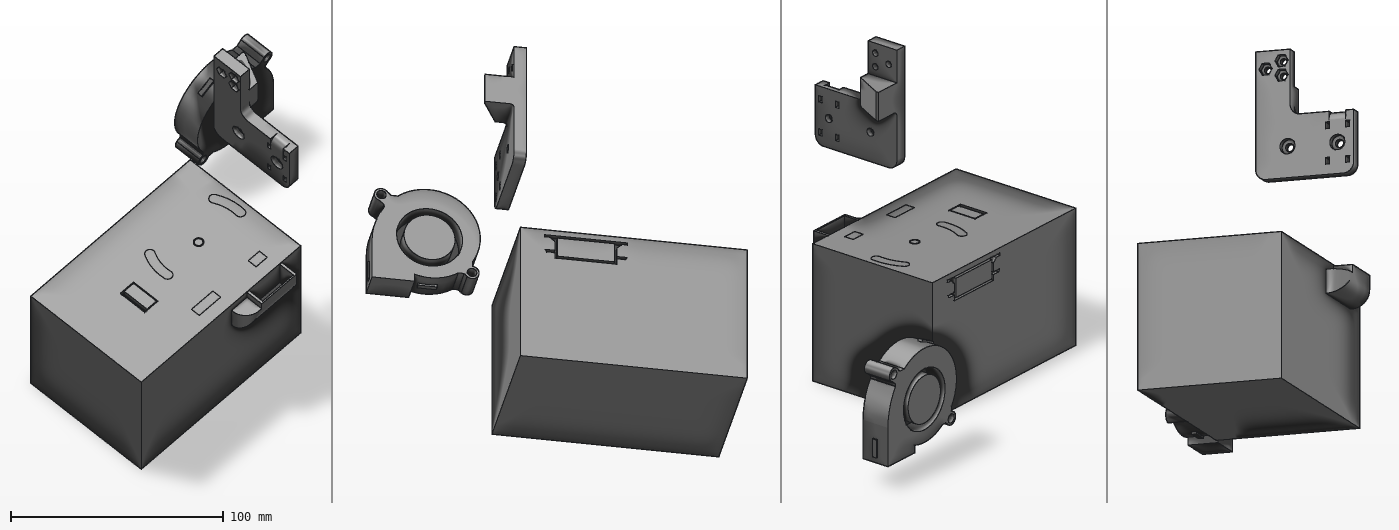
import cadquery as cq
import math


BOX_X, BOX_Y, BOX_Z = 72.0, 108.9, 71.1
SEAT_DEPTH = 0.1
PIVOT = (35.7, 77.2)
PIVOT_OUTER_D, PIVOT_INNER_D = 5.0, 4.0
ARC_SLOT_WIDTH = 5.0
FRONT_SLOT_R, REAR_SLOT_R = 23.9, 26.1
FRONT_SLOT_ANGLES = (-120.0, -84.0)
REAR_SLOT_ANGLES = (117.5, 84.5)
SEAT_X, SEAT_WIDTH = 62.6, 5.1
SEAT_SPANS = [(85.6, 93.2), (46.8, 61.4)]

POCKET_X, POCKET_Y = 37.4, 34.8
POCKET_LENGTH, POCKET_WIDTH, POCKET_DEPTH = 15.9, 9.0, 3.0
TONGUE_GAP = 0.5
TONGUE_WIDTH = 6.4

GROOVE_DEPTH = 3.0
GROOVE_Y, GROOVE_HALF_WIDTH = 77.4, 14.9
GROOVE_BOTTOM, GROOVE_TOP = 55.9, 68.3
GROOVE_WALL = 1.2
FLANGE_HALF_WIDTH = 19.9
FLARE = 2.2
RIB_BOTTOM, RIB_HEIGHT = 58.9, 1.3
RIB_HALF_WIDTH, RIB_TIP_TAPER = 19.6, 0.8

ELBOW_X = 9.6
ELBOW_FRONT, ELBOW_BACK = 61.6, 96.1
ELBOW_BOTTOM, ELBOW_SHELF, ELBOW_TOP = 54.9, 66.6, 70.5
ELBOW_ROUND = 9.0
COLLAR_FRONT = 72.2
ELBOW_WALL, ELBOW_SIDE_WALL = 0.8, 1.5

BRACKET_X, BRACKET_Z = 22.3, 122.6
BRACKET_WIDTH, BRACKET_HEIGHT = 49.1, 62.22
PLATE_FRONT, PLATE_THICKNESS = 101.7, 6.0
LEG_WIDTH, FOOT_HEIGHT = 17.3, 30.5
CORNER_R = 5.0
ARM_LENGTH, ARM_DROP = 13.9, 8.1
ARM_BOTTOM, ARM_TOP = 30.3, 45.3
ARM_FLAT = 1.5
ARM_FILLET = 2.0
SCREW_D, NUT_FLATS, NUT_DEPTH = 3.2, 5.7, 3.0
SCREW_POINTS = [(13.0, 50.0), (13.0, 57.0), (5.0, 53.5)]
BOLT_D, BOLT_HEAD_D, BOLT_HEAD_DEPTH = 4.0, 7.5, 3.0
BOLT_X, BOLT_SPACING, BOLT_Z = 16.0, 25.0, 15.25
TIE_WIDTH, TIE_HEIGHT = 2.0, 3.2
TIE_SPACING_X, TIE_SPACING_Z = 10.1, 17.2
RELIEF_WIDTH, RELIEF_R = 8.3, 4.3

FAN_X, FAN_WIDTH = -34.93, 15.0
HUB_Y, HUB_Z = 159.14, 38.5
INLET_D, HUB_D, INLET_DEPTH = 31.6, 24.5, 10.0
SCROLL_R, SCROLL_RISE = 24.4, 2.05
OUTLET_LEFT, OUTLET_RIGHT, OUTLET_BOTTOM = -27.6, -7.2, -25.1
WALL_START, WALL_MIDDLE, WALL_END = (OUTLET_LEFT, -5.0), (-26.2, 5.0), (-21.9, 14.4)
WALL_INSIDE = (-16.0, 18.0)
EAR_R, EAR_HOLE_D = 3.4, 4.5
LEFT_EAR, RIGHT_EAR = (-23.1, 21.0), (20.4, -17.1)
LEFT_NECK = [
    (-20.9, 23.6),
    (-18.4, 21.2),
    (-14.5, 21.2),
    (-16.0, 15.0),
    (-21.6, 14.0),
    (-21.9, 15.8),
    (-25.3, 18.7),
]
RIGHT_NECK = [
    (20.7, -10.2),
    (20.7, -13.4),
    (22.9, -14.7),
    (18.0, -19.6),
    (16.6, -18.1),
    (12.8, -18.1),
]
CLIP_LENGTH, CLIP_WIDTH, CLIP_HEIGHT = 9.3, 2.5, 0.8
TOP_CLIP_ANGLE = 64.5
BOTTOM_CLIP = (0.3, SCROLL_RISE - SCROLL_R)
SIDE_CLIP = (OUTLET_LEFT, -17.4)


def block(x0, x1, y0, y1, z0, z1):
    return cq.Workplane("XY").box(x1 - x0, y1 - y0, z1 - z0, centered=False).translate((x0, y0, z0))


def polar(radius, angle):
    turn = math.radians(angle)
    return (PIVOT[0] + radius * math.cos(turn), PIVOT[1] + radius * math.sin(turn))


def arc_slot(radius, angles):
    """Slot seat that runs round the pivot from the first angle to the second, with round ends."""
    start, end = angles
    middle = (start + end) / 2
    inner = radius - ARC_SLOT_WIDTH / 2
    outer = radius + ARC_SLOT_WIDTH / 2
    slot = (
        cq.Workplane("XY", origin=(0, 0, BOX_Z - SEAT_DEPTH))
        .moveTo(*polar(inner, start))
        .threePointArc(polar(inner, middle), polar(inner, end))
        .lineTo(*polar(outer, end))
        .threePointArc(polar(outer, middle), polar(outer, start))
        .close()
        .extrude(SEAT_DEPTH)
    )
    ends = (
        cq.Workplane("XY", origin=(0, 0, BOX_Z - SEAT_DEPTH))
        .pushPoints([polar(radius, start), polar(radius, end)])
        .circle(ARC_SLOT_WIDTH / 2)
        .extrude(SEAT_DEPTH)
    )
    return slot.union(ends)


def pivot_ring():
    return (
        cq.Workplane("XY", origin=(*PIVOT, BOX_Z - SEAT_DEPTH))
        .circle(PIVOT_OUTER_D / 2)
        .circle(PIVOT_INNER_D / 2)
        .extrude(SEAT_DEPTH)
    )


def tongue_pocket():
    """Pocket round a standing tongue, with a narrow gap on three sides and a wide one in front."""
    back = POCKET_Y + POCKET_WIDTH / 2
    half = POCKET_LENGTH / 2
    floor = BOX_Z - POCKET_DEPTH
    pocket = block(POCKET_X - half, POCKET_X + half, back - POCKET_WIDTH, back, floor, BOX_Z)
    tongue_half = half - TONGUE_GAP
    tongue_back = back - TONGUE_GAP
    tongue = block(
        POCKET_X - tongue_half, POCKET_X + tongue_half,
        tongue_back - TONGUE_WIDTH, tongue_back,
        floor, BOX_Z,
    )
    return pocket.cut(tongue)


def duct_groove():
    """Groove that follows the walls, top flange and side ribs of a duct section."""
    half = GROOVE_HALF_WIDTH
    flange_bottom = GROOVE_TOP - GROOVE_WALL
    rib_top = RIB_BOTTOM + RIB_HEIGHT
    right_side = [
        (half, GROOVE_BOTTOM),
        (half, RIB_BOTTOM),
        (RIB_HALF_WIDTH - RIB_TIP_TAPER, RIB_BOTTOM),
        (RIB_HALF_WIDTH, rib_top),
        (half, rib_top),
        (half, flange_bottom - FLARE),
        (half + FLARE, flange_bottom),
        (FLANGE_HALF_WIDTH, flange_bottom),
        (FLANGE_HALF_WIDTH, GROOVE_TOP),
    ]
    left_side = [(-y, z) for y, z in reversed(right_side)]
    outline = cq.Workplane("YZ", origin=(0, GROOVE_Y, 0)).polyline(right_side + left_side).close()
    inside = half - GROOVE_WALL
    core = block(
        0, GROOVE_DEPTH,
        GROOVE_Y - inside, GROOVE_Y + inside,
        GROOVE_BOTTOM + GROOVE_WALL, flange_bottom,
    )
    return outline.extrude(GROOVE_DEPTH).cut(core)


def make_box():
    box = block(0, BOX_X, 0, BOX_Y, 0, BOX_Z)
    box = box.cut(arc_slot(FRONT_SLOT_R, FRONT_SLOT_ANGLES))
    box = box.cut(arc_slot(REAR_SLOT_R, REAR_SLOT_ANGLES))
    box = box.cut(pivot_ring())
    for front, back in SEAT_SPANS:
        left = SEAT_X - SEAT_WIDTH / 2
        box = box.cut(block(left, left + SEAT_WIDTH, front, back, BOX_Z - SEAT_DEPTH, BOX_Z))
    box = box.cut(tongue_pocket())
    return box.cut(duct_groove())


def make_elbow():
    """Air elbow against the +X side of the box, with an open collar on top."""
    right = BOX_X + ELBOW_X
    body = block(BOX_X, right, ELBOW_FRONT, ELBOW_BACK, ELBOW_BOTTOM, ELBOW_SHELF)
    front_round = body.edges("|Z and >X and <Y").fillet(ELBOW_ROUND)
    bottom_round = body.edges("|Y and >X and <Z").fillet(ELBOW_ROUND)
    body = front_round.intersect(bottom_round)
    collar = block(BOX_X, right, COLLAR_FRONT, ELBOW_BACK, ELBOW_SHELF, ELBOW_TOP)
    cavity = block(
        BOX_X, right - ELBOW_WALL,
        COLLAR_FRONT + ELBOW_SIDE_WALL, ELBOW_BACK - ELBOW_SIDE_WALL,
        ELBOW_BOTTOM + ELBOW_WALL, ELBOW_TOP,
    )
    cavity = cavity.edges("|Y and >X and <Z").fillet(ELBOW_ROUND - ELBOW_WALL)
    return body.union(collar).cut(cavity)


def bracket_plate():
    outline = [
        (0, 0),
        (BRACKET_WIDTH, 0),
        (BRACKET_WIDTH, FOOT_HEIGHT),
        (LEG_WIDTH, FOOT_HEIGHT),
        (LEG_WIDTH, BRACKET_HEIGHT),
        (0, BRACKET_HEIGHT),
    ]
    plate = cq.Workplane("XZ").polyline(outline).close().extrude(-PLATE_THICKNESS)
    plate = plate.edges("|Y and <Z").fillet(CORNER_R)
    inner_corner = cq.selectors.NearestToPointSelector((LEG_WIDTH, PLATE_THICKNESS / 2, FOOT_HEIGHT))
    return plate.edges(inner_corner).fillet(CORNER_R)


def bracket_arm():
    """Arm behind the leg, with a slanted end and a fillet under its root."""
    tip = PLATE_THICKNESS + ARM_LENGTH
    outline = [
        (0, PLATE_THICKNESS),
        (LEG_WIDTH, PLATE_THICKNESS),
        (LEG_WIDTH, tip - ARM_DROP),
        (ARM_FLAT, tip),
        (0, tip),
    ]
    arm = (
        cq.Workplane("XY", origin=(0, 0, ARM_BOTTOM))
        .polyline(outline)
        .close()
        .extrude(ARM_TOP - ARM_BOTTOM)
    )
    root = (
        cq.Workplane("YZ")
        .moveTo(PLATE_THICKNESS, ARM_BOTTOM)
        .lineTo(PLATE_THICKNESS + ARM_FILLET, ARM_BOTTOM)
        .radiusArc((PLATE_THICKNESS, ARM_BOTTOM - ARM_FILLET), -ARM_FILLET)
        .close()
        .extrude(LEG_WIDTH)
    )
    return arm.union(root)


def nut_holes():
    """Screw holes with hexagonal nut seats in the front face, flats facing up and down."""
    front = cq.Workplane("XZ").pushPoints(SCREW_POINTS)
    nut_points_d = NUT_FLATS / math.cos(math.pi / 6)
    holes = front.circle(SCREW_D / 2).extrude(-PLATE_THICKNESS)
    return holes.union(front.polygon(6, nut_points_d).extrude(-NUT_DEPTH))


def bolt_holes(points):
    """Counterbored bolt holes, heads in the front face."""
    front = cq.Workplane("XZ").pushPoints(points)
    holes = front.circle(BOLT_D / 2).extrude(-PLATE_THICKNESS)
    return holes.union(front.circle(BOLT_HEAD_D / 2).extrude(-BOLT_HEAD_DEPTH))


def edge_relief(center_x):
    """Local rounding of the foot's top front edge."""
    left = center_x - RELIEF_WIDTH / 2
    bottom = FOOT_HEIGHT - RELIEF_R
    corner = block(left, left + RELIEF_WIDTH, 0, RELIEF_R, bottom, FOOT_HEIGHT)
    round_edge = (
        cq.Workplane("YZ", origin=(left, RELIEF_R, bottom)).circle(RELIEF_R).extrude(RELIEF_WIDTH)
    )
    return corner.cut(round_edge)


def make_bracket():
    far_bolt_x = BOLT_X + BOLT_SPACING
    bolts = [(BOLT_X, BOLT_Z), (far_bolt_x, BOLT_Z)]
    tie_slots = (
        cq.Workplane("XZ", origin=(far_bolt_x, 0, BOLT_Z))
        .rarray(TIE_SPACING_X, TIE_SPACING_Z, 2, 2)
        .rect(TIE_WIDTH, TIE_HEIGHT)
        .extrude(-PLATE_THICKNESS)
    )
    bracket = bracket_plate().union(bracket_arm())
    bracket = bracket.cut(nut_holes())
    bracket = bracket.cut(bolt_holes(bolts))
    bracket = bracket.cut(tie_slots)
    bracket = bracket.cut(edge_relief(far_bolt_x))
    return bracket.translate((BRACKET_X, PLATE_FRONT, BRACKET_Z))


def fan_plane():
    """Sketch plane on the fan's -X face: first axis toward -Y, second up, hub at the origin."""
    return cq.Workplane(cq.Plane((0, 0, 0), xDir=(0, -1, 0), normal=(-1, 0, 0)))


def fan_extrude(sketch):
    return sketch.extrude(-FAN_WIDTH)


def fan_clip(center, angle):
    """Small bar across the rim; the angle is the direction of its outward face."""
    return (
        cq.Workplane("XY")
        .box(CLIP_WIDTH, CLIP_LENGTH, 2 * CLIP_HEIGHT)
        .rotate((0, 0, 0), (1, 0, 0), 90 - angle)
        .translate((FAN_WIDTH / 2, -center[0], center[1]))
    )


def make_fan():
    scroll = fan_extrude(fan_plane().center(0, SCROLL_RISE).circle(SCROLL_R))
    throat = fan_extrude(
        fan_plane()
        .moveTo(OUTLET_LEFT, OUTLET_BOTTOM)
        .lineTo(OUTLET_RIGHT, OUTLET_BOTTOM)
        .lineTo(OUTLET_RIGHT, 0)
        .lineTo(*WALL_INSIDE)
        .lineTo(*WALL_END)
        .threePointArc(WALL_MIDDLE, WALL_START)
        .close()
    )
    fan = scroll.union(throat)

    ears = [(LEFT_EAR, LEFT_NECK), (RIGHT_EAR, RIGHT_NECK)]
    for center, neck in ears:
        fan = fan.union(fan_extrude(fan_plane().polyline(neck).close()))
        fan = fan.union(fan_extrude(fan_plane().center(*center).circle(EAR_R)))
        fan = fan.cut(fan_extrude(fan_plane().center(*center).circle(EAR_HOLE_D / 2)))

    turn = math.radians(TOP_CLIP_ANGLE)
    top_clip = (SCROLL_R * math.cos(turn), SCROLL_RISE + SCROLL_R * math.sin(turn))
    fan = fan.union(fan_clip(top_clip, TOP_CLIP_ANGLE))
    fan = fan.union(fan_clip(BOTTOM_CLIP, -90))
    fan = fan.union(fan_clip(SIDE_CLIP, 180))

    inlet = fan_plane().circle(INLET_D / 2).circle(HUB_D / 2).extrude(-INLET_DEPTH)
    return fan.cut(inlet).translate((FAN_X, HUB_Y, HUB_Z))


box = make_box()
elbow = make_elbow()
bracket = make_bracket()
fan = make_fan()

result = cq.Compound.makeCompound([box.val(), elbow.val(), bracket.val(), fan.val()])